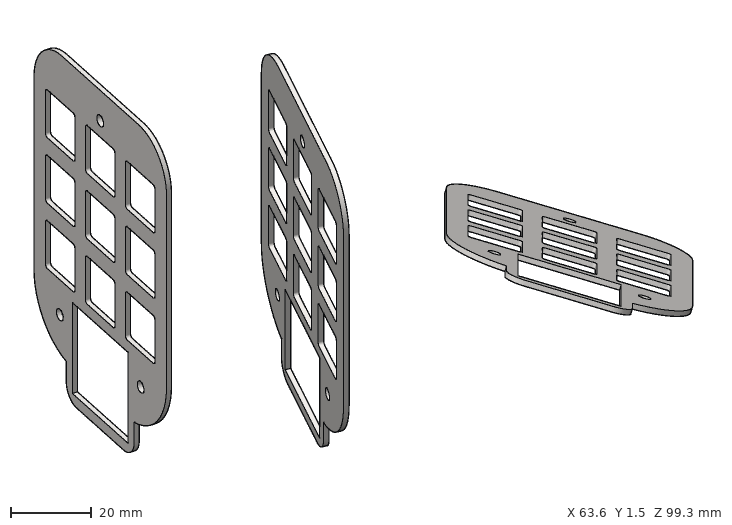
import cadquery as cq

WIDTH = 63.6
HEIGHT = 99.3
THICKNESS = 1.5

TOP_CORNER_RADIUS = 13.3
LOWER_CORNER_RADIUS = 18.9
LOWER_ARC_START = 29.5

WINDOW_SIZE = 26.6
WINDOW_BORDER_SIDE = 3.0
WINDOW_BORDER_BOTTOM = 3.2
TAB_CORNER_RADIUS = 5.0

KEY_SIZE = 14.0
KEY_PITCH = 19.2
KEY_GRID_COUNT = 3
KEY_GRID_CENTER_HEIGHT = 59.4
KEY_CORNER_RADIUS = 0.8

SCREW_DIAMETER = 3.2
TOP_SCREW_HEIGHT = 90.4
LOWER_SCREW_HEIGHT = 22.9
LOWER_SCREW_OFFSET = 19.4

TAB_WIDTH = WINDOW_SIZE + 2 * WINDOW_BORDER_SIDE
BODY_BOTTOM = LOWER_ARC_START - LOWER_CORNER_RADIUS
BODY_HEIGHT = HEIGHT - BODY_BOTTOM
WINDOW_CENTER_HEIGHT = WINDOW_BORDER_BOTTOM + WINDOW_SIZE / 2


def block(width, height, center_height, center_x=0.0):
    """Rectangular block through the full plate thickness, centred on Y = 0."""
    return cq.Workplane("XY").box(width, THICKNESS, height).translate((center_x, 0, center_height))


def make_body():
    body = block(WIDTH, BODY_HEIGHT, BODY_BOTTOM + BODY_HEIGHT / 2)
    body = body.edges("|Y and >Z").fillet(TOP_CORNER_RADIUS)
    return body.edges("|Y and <Z").fillet(LOWER_CORNER_RADIUS)


def make_tab():
    tab = block(TAB_WIDTH, LOWER_ARC_START, LOWER_ARC_START / 2)
    return tab.edges("|Y and <Z").fillet(TAB_CORNER_RADIUS)


def cut_keys(plate):
    middle = (KEY_GRID_COUNT - 1) / 2
    for row in range(KEY_GRID_COUNT):
        for column in range(KEY_GRID_COUNT):
            center_x = (column - middle) * KEY_PITCH
            center_height = KEY_GRID_CENTER_HEIGHT + (row - middle) * KEY_PITCH
            opening = block(KEY_SIZE, KEY_SIZE, center_height, center_x)
            plate = plate.cut(opening.edges("|Y").fillet(KEY_CORNER_RADIUS))
    return plate


def cut_screw_holes(plate):
    centers = [
        (0, TOP_SCREW_HEIGHT),
        (-LOWER_SCREW_OFFSET, LOWER_SCREW_HEIGHT),
        (LOWER_SCREW_OFFSET, LOWER_SCREW_HEIGHT),
    ]
    holes = (
        cq.Workplane("XZ")
        .pushPoints(centers)
        .circle(SCREW_DIAMETER / 2)
        .extrude(THICKNESS / 2, both=True)
    )
    return plate.cut(holes)


plate = make_body().union(make_tab())
plate = plate.cut(block(WINDOW_SIZE, WINDOW_SIZE, WINDOW_CENTER_HEIGHT))
plate = cut_keys(plate)
result = cut_screw_holes(plate)